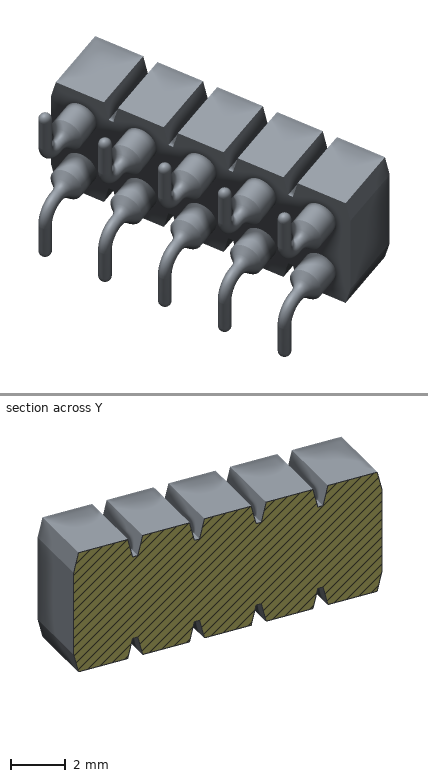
import cadquery as cq
import math

columns = 5
pitch = 2.54

housing_length = columns * pitch
housing_height = 2 * pitch
housing_depth = 2.8
notch_depth = 0.8
notch_floor_width = 0.2
notch_side_run = 0.2

overall_depth = 5.6
overall_height = 7.18
barrel_radius = 1.34 / 2
barrel_length = 1.04
wire_radius = 0.5 / 2
neck_radius = 0.55
bend_radius = 0.75
embed_depth = 0.5

pin_reach = overall_depth - housing_depth - wire_radius
bend_start = pin_reach - bend_radius
neck_angle = math.radians(45)
neck_start_radius = wire_radius + neck_radius * (1 - math.cos(neck_angle))
neck_mid_radius = wire_radius + neck_radius * (1 - math.cos(neck_angle / 2))
cone_end = barrel_length + barrel_radius - neck_start_radius
neck_end = cone_end + neck_radius * math.sin(neck_angle)
neck_mid = neck_end - neck_radius * math.sin(neck_angle / 2)
row_height = pitch / 2
tail_length = overall_height / 2 - row_height - bend_radius


def make_housing():
    """Block with bevelled ends and a tapered notch between columns, top and bottom."""
    half_length = housing_length / 2
    half_height = housing_height / 2
    notch_floor = half_height - notch_depth
    half_floor = notch_floor_width / 2
    half_mouth = half_floor + notch_side_run

    top_edge = [
        (-half_length, notch_floor),
        (-half_length + notch_side_run, half_height),
    ]
    for gap in range(1, columns):
        x = -half_length + gap * pitch
        top_edge += [
            (x - half_mouth, half_height),
            (x - half_floor, notch_floor),
            (x + half_floor, notch_floor),
            (x + half_mouth, half_height),
        ]
    top_edge += [
        (half_length - notch_side_run, half_height),
        (half_length, notch_floor),
    ]
    bottom_edge = [(x, -z) for x, z in reversed(top_edge)]
    return cq.Workplane("XZ").polyline(top_edge + bottom_edge).close().extrude(-housing_depth)


def make_pin():
    """Pin leaving the origin along -Y and bending up to +Z."""
    turned_body = (
        cq.Workplane("XY")
        .moveTo(0, embed_depth)
        .lineTo(barrel_radius, embed_depth)
        .lineTo(barrel_radius, -barrel_length)
        .lineTo(neck_start_radius, -cone_end)
        .threePointArc((neck_mid_radius, -neck_mid), (wire_radius, -neck_end))
        .lineTo(wire_radius, -bend_start)
        .lineTo(0, -bend_start)
        .close()
        .revolve(360, (0, 0, 0), (0, 1, 0))
    )
    bend = (
        cq.Workplane("XZ", origin=(0, -bend_start, 0))
        .circle(wire_radius)
        .revolve(90, (1, bend_radius, 0), (0, bend_radius, 0))
    )
    tail = (
        cq.Workplane("XZ", origin=(0, -pin_reach, bend_radius))
        .lineTo(wire_radius, 0)
        .lineTo(wire_radius, tail_length - wire_radius)
        .radiusArc((0, tail_length), -wire_radius)
        .close()
        .revolve(360, (0, 0, 0), (0, 1, 0))
    )
    return turned_body.union(bend).union(tail)


upper_pin = make_pin().translate((0, 0, row_height))
lower_pin = upper_pin.mirror("XY")

result = make_housing()
for column in range(columns):
    column_x = (column - (columns - 1) / 2) * pitch
    for pin in (upper_pin, lower_pin):
        result = result.union(pin.translate((column_x, 0, 0)))